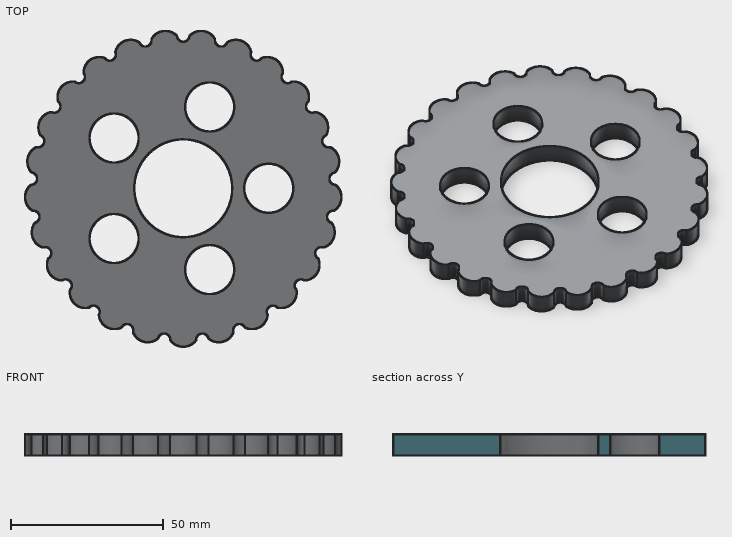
import cadquery as cq
import math

thickness = 7.0
lobe_count = 25
tip_radius = 51.95
lobe_radius = 5.2
groove_radius = 2.0
groove_centre_radius = 50.0
bore_diameter = 32.0
bolt_hole_diameter = 16.0
bolt_hole_count = 5
bolt_circle_radius = 28.0

first_lobe_angle = -90.0
pitch_angle = 360.0 / lobe_count
lobe_centre_radius = tip_radius - lobe_radius
groove_floor_radius = groove_centre_radius - groove_radius


def polar(radius, angle):
    """XY point at a radius and an angle in degrees."""
    return (radius * math.cos(math.radians(angle)), radius * math.sin(math.radians(angle)))


def flank_point():
    """Radius and angle from the lobe axis where a lobe arc meets the next groove arc."""
    groove_x, groove_y = polar(groove_centre_radius, pitch_angle / 2)
    offset_x = groove_x - lobe_centre_radius
    spacing = math.hypot(offset_x, groove_y)
    along = (spacing**2 + lobe_radius**2 - groove_radius**2) / (2 * spacing)
    half_chord = math.sqrt(lobe_radius**2 - along**2)
    unit_x = offset_x / spacing
    unit_y = groove_y / spacing
    x = lobe_centre_radius + along * unit_x + half_chord * unit_y
    y = along * unit_y - half_chord * unit_x
    return math.hypot(x, y), math.degrees(math.atan2(y, x))


def make_lobed_disc():
    """Disc whose rim alternates convex lobe arcs and concave groove arcs."""
    flank_radius, flank_angle = flank_point()
    rim = cq.Workplane("XY").moveTo(*polar(flank_radius, first_lobe_angle - flank_angle))
    for index in range(lobe_count):
        lobe_angle = first_lobe_angle + index * pitch_angle
        groove_angle = lobe_angle + pitch_angle / 2
        next_lobe_angle = lobe_angle + pitch_angle
        rim = rim.threePointArc(
            polar(tip_radius, lobe_angle),
            polar(flank_radius, lobe_angle + flank_angle),
        )
        rim = rim.threePointArc(
            polar(groove_floor_radius, groove_angle),
            polar(flank_radius, next_lobe_angle - flank_angle),
        )
    return rim.close().extrude(thickness)


def make_bore():
    """Cutter for the central through hole."""
    return cq.Workplane("XY").circle(bore_diameter / 2).extrude(thickness)


def make_bolt_holes():
    """Cutter for the ring of through holes, the first one on +X."""
    return (
        cq.Workplane("XY")
        .polarArray(bolt_circle_radius, 0, 360, bolt_hole_count)
        .circle(bolt_hole_diameter / 2)
        .extrude(thickness)
    )


result = make_lobed_disc().cut(make_bore()).cut(make_bolt_holes())